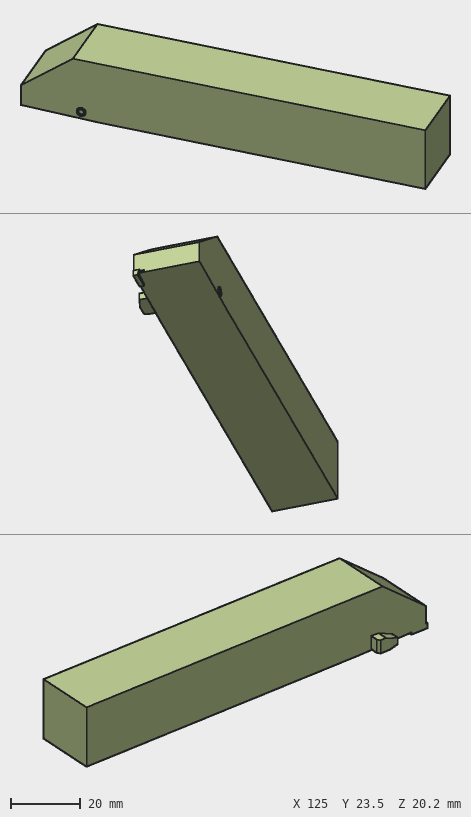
import cadquery as cq

length = 125.0
shank_size = 20.0
nose_x = 0.5
nose_top_z = 7.4
slope_end_x = 16.5
relief_height = 0.6
relief_end_x = 25.0

insert_width = 1.4
insert_tip_width = 1.9
insert_length = 5.9
insert_drop = 0.2
insert_top_z = 1.5

slot_end_y = -3.1
slot_height = 0.4
slot_top_z = 1.4
slot_depth = 0.6

lug_front_x = 12.9
lug_ridge_x = 18.0
lug_back_x = 20.6
lug_base_z = 0.4
lug_front_z = 2.6
lug_top_z = 4.9
lug_reach = 3.5
lug_side_reach = 2.5
lug_crest_front_x = 16.5
lug_crest_back_x = 20.0

screw_x = 19.0
screw_z = 2.4
socket_radius = 1.4
socket_depth = 0.2
lobe_count = 6
ridge_radius = 0.31
ridge_centre_radius = 1.1


def make_holder():
    """Square shank with a sloped nose and a relieved underside."""
    outline = [
        (nose_x, relief_height),
        (relief_end_x, 0),
        (length, 0),
        (length, shank_size),
        (slope_end_x, shank_size),
        (nose_x, nose_top_z),
    ]
    return cq.Workplane("XZ").polyline(outline).close().extrude(shank_size)


def make_insert():
    """Blade under the nose, with a wider cutting tip ahead of the front face."""
    blade = cq.Workplane("XY").box(
        insert_length, insert_width, insert_top_z + insert_drop, centered=False
    ).translate((0, -insert_width, -insert_drop))
    tip_outline = [
        (0, -insert_drop),
        (-insert_width, -insert_drop),
        (-insert_tip_width, insert_top_z),
        (0, insert_top_z),
    ]
    tip = cq.Workplane("YZ").polyline(tip_outline).close().extrude(2 * nose_x)
    return blade.union(tip)


def make_lug():
    """Side profile with a sloped front, trimmed to the tapered plan outline."""
    profile = [
        (lug_front_x, lug_base_z),
        (lug_back_x, lug_base_z),
        (lug_back_x, lug_top_z),
        (lug_ridge_x, lug_top_z),
        (lug_front_x, lug_front_z),
    ]
    plan = [
        (lug_front_x, 0),
        (lug_back_x, 0),
        (lug_back_x, lug_side_reach),
        (lug_crest_back_x, lug_reach),
        (lug_crest_front_x, lug_reach),
        (lug_front_x, lug_side_reach),
    ]
    side = cq.Workplane("XZ").polyline(profile).close().extrude(-lug_reach)
    return side.intersect(cq.Workplane("XY").polyline(plan).close().extrude(lug_top_z))


def make_slot():
    """Clearance cut from the tip's side along the front face."""
    slot_width = -slot_end_y - insert_tip_width
    slot = cq.Workplane("XY").box(slot_depth, slot_width, slot_height, centered=False)
    return slot.translate((nose_x, slot_end_y, slot_top_z - slot_height))


def make_screw_socket():
    """Six-lobed driver socket: a round recess with rounded ridges around its wall."""
    face = cq.Workplane("XZ", origin=(screw_x, -shank_size, screw_z))
    ridges = (
        face.polarArray(ridge_centre_radius, 0, 360, lobe_count)
        .circle(ridge_radius)
        .extrude(-socket_depth)
    )
    return face.circle(socket_radius).extrude(-socket_depth).cut(ridges)


result = make_holder().union(make_insert()).union(make_lug())
result = result.cut(make_slot()).cut(make_screw_socket())